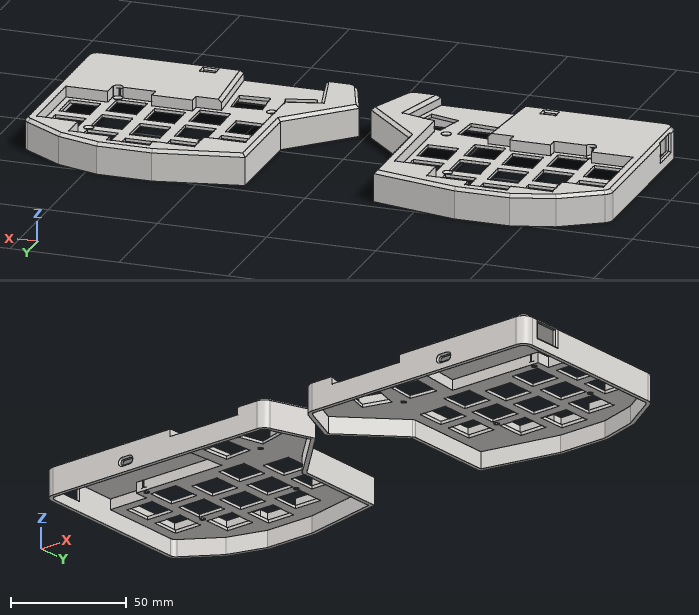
import cadquery as cq
import math

TOTAL_WIDTH = 269.0
DEPTH = 105.22
HEIGHT = 14.6
HALF_WIDTH = 131.9

WALL = 2.0
CORNER_RADIUS = 5.0
EDGE_CHAMFER = 1.5
SIDE_TOP_Y = 86.4
REAR_SHOULDER = (20.6, 99.6)
REAR_FLAT_START_X = 39.9
REAR_FLAT_END_X = 65.2
INNER_SIDE_X = 105.1
INNER_REAR_Y = 97.0
INNER_NOTCH_Y = 50.9
THUMB_TIP_Y = 24.3
FRONT_END_X = 122.5

OUTLINE = [
    (0, 0),
    (0, SIDE_TOP_Y),
    REAR_SHOULDER,
    (REAR_FLAT_START_X, DEPTH),
    (REAR_FLAT_END_X, DEPTH),
    (INNER_SIDE_X, INNER_REAR_Y),
    (INNER_SIDE_X, INNER_NOTCH_Y),
    (HALF_WIDTH, THUMB_TIP_Y),
    (FRONT_END_X, 0),
]
ROUNDED_CORNERS = [(0, 0), (0, SIDE_TOP_Y), (FRONT_END_X, 0)]

KEY_PITCH = 19.05
KEY_HOLE = 14.0
KEY_CLEARANCE = 0.2
KEY_CELL = KEY_PITCH + 2 * KEY_CLEARANCE
PLATE_TOP = 9.6
PLATE_THICKNESS = 1.5
PLATE_BOTTOM = PLATE_TOP - PLATE_THICKNESS
FIRST_COLUMN_X = 14.4
TOP_KEY_Y = 90.4
COLUMN_STEP = KEY_PITCH / 4
OUTER_COLUMN_DROP = 16.9
COLUMNS = [
    (OUTER_COLUMN_DROP, 2),
    (COLUMN_STEP, 3),
    (0, 3),
    (COLUMN_STEP, 3),
    (OUTER_COLUMN_DROP, 2),
]
INNER_THUMB_KEY = (82.2, 24.5, -4.5)
OUTER_THUMB_KEY = (103.4, 20.5, -15.0)

SCREW_DIAMETER = 2.4
SCREW_HEAD_DIAMETER = 4.4
SCREW_PLACES = [(26.1, 76.1), (78.5, 76.1), (26.1, 38.0), (94.5, 32.3)]

OPENING_CHAMFER = 0.8
PALM_ROOF = 1.5
SIDE_WINDOW_Y = 15.3
SIDE_WINDOW_LENGTH = 12.4
SIDE_WINDOW_BOTTOM = 5.0
SIDE_WINDOW_TOP = 13.0
FRONT_SLOT_X = 45.6
FRONT_SLOT_Z = 5.0
FRONT_SLOT_LENGTH = 6.4
FRONT_SLOT_HEIGHT = 2.6
TOP_SLOT_X = 56.5
TOP_SLOT_Y = 5.8
TOP_SLOT_LENGTH = 5.7
TOP_SLOT_WIDTH = 3.2


def finger_keys():
    """Centres of the finger keys, column by column."""
    places = []
    for column, (drop, count) in enumerate(COLUMNS):
        for row in range(count):
            places.append((FIRST_COLUMN_X + column * KEY_PITCH, TOP_KEY_Y - drop - row * KEY_PITCH))
    return places


def key_point(key, along, across):
    """Point at an offset from a key centre, measured along the key's own axes."""
    x, y, degrees = key
    turn = math.radians(degrees)
    return (
        x + along * math.cos(turn) - across * math.sin(turn),
        y + along * math.sin(turn) + across * math.cos(turn),
    )


def line_at_y(start, end, y):
    """Point at height y on the line through two points."""
    share = (y - start[1]) / (end[1] - start[1])
    return (start[0] + share * (end[0] - start[0]), y)


def line_at_x(start, end, x):
    """Point at distance x on the line through two points."""
    share = (x - start[0]) / (end[0] - start[0])
    return (x, start[1] + share * (end[1] - start[1]))


def prism(points, bottom, top):
    """Upright block with a polygon base between two heights."""
    return cq.Workplane("XY").workplane(offset=bottom).polyline(points).close().extrude(top - bottom)


HALF_CELL = KEY_CELL / 2
INNER_COLUMN_X = FIRST_COLUMN_X + 3 * KEY_PITCH
THUMB_REAR_Y = TOP_KEY_Y - COLUMN_STEP - 2 * KEY_PITCH - HALF_CELL
THUMB_INNER_X = FIRST_COLUMN_X + 4 * KEY_PITCH + HALF_CELL

PALM_SIDE_MIDDLE = key_point(INNER_THUMB_KEY, -HALF_CELL, 0)
PALM_SIDE_TOP = key_point(INNER_THUMB_KEY, -HALF_CELL, HALF_CELL)
PALM_SIDE_REAR = line_at_y(PALM_SIDE_MIDDLE, PALM_SIDE_TOP, THUMB_REAR_Y)
PALM_SIDE_FRONT = line_at_y(PALM_SIDE_MIDDLE, PALM_SIDE_TOP, 0)
TIP_SIDE_REAR = key_point(OUTER_THUMB_KEY, HALF_CELL, HALF_CELL)
TIP_SIDE_FRONT = line_at_y(TIP_SIDE_REAR, key_point(OUTER_THUMB_KEY, HALF_CELL, 0), 0)
THUMB_CORNER = line_at_x(TIP_SIDE_REAR, key_point(OUTER_THUMB_KEY, 0, HALF_CELL), THUMB_INNER_X)


def shell():
    """Solid block of one half with its rounded upright corners."""
    body = prism(OUTLINE, 0, HEIGHT)
    for x, y in ROUNDED_CORNERS:
        corner = cq.selectors.NearestToPointSelector((x, y, HEIGHT / 2))
        body = body.edges("|Z").edges(corner).fillet(CORNER_RADIUS)
    return body


def recess():
    """Space above the switch plate: one square cell per key plus the open thumb area."""
    depth = HEIGHT - PLATE_TOP
    plate = cq.Workplane("XY").workplane(offset=PLATE_TOP)
    cells = plate.pushPoints(finger_keys()).rect(KEY_CELL, KEY_CELL).extrude(depth)
    thumb_outline = [
        PALM_SIDE_FRONT,
        PALM_SIDE_REAR,
        (INNER_COLUMN_X, THUMB_REAR_Y),
        (INNER_COLUMN_X, THUMB_REAR_Y + KEY_CELL),
        (THUMB_INNER_X, THUMB_REAR_Y + KEY_CELL),
        THUMB_CORNER,
        TIP_SIDE_REAR,
        TIP_SIDE_FRONT,
    ]
    return cells.union(prism(thumb_outline, PLATE_TOP, HEIGHT))


def side_chamfer(rear, front, side):
    """Wedge that bevels the top edge of a wall beside the thumb area.

    The wall lies toward +x for side = 1 and toward -x for side = -1.
    """
    length = math.dist(rear, front)
    heading = math.degrees(math.atan2(front[1] - rear[1], front[0] - rear[0]))
    wedge = (
        cq.Workplane("YZ")
        .polyline([(0, 0), (side * EDGE_CHAMFER, 0), (0, -EDGE_CHAMFER)])
        .close()
        .extrude(length + WALL)
    )
    return wedge.rotate((0, 0, 0), (0, 0, 1), heading).translate((rear[0], rear[1], HEIGHT))


def inside(outer, height):
    """Solid that fills the inside of the side walls up to a height."""
    return cq.Workplane("XY").add(outer.faces("<Z").wires()).toPending().offset2D(-WALL).extrude(height)


def cavity(outer):
    """Hollow below the plate, rising to the roof inside the palm rest."""
    keys = finger_keys()
    step_x = FIRST_COLUMN_X + HALF_CELL - WALL
    side_y = keys[1][1] - HALF_CELL - WALL
    rear_y = THUMB_REAR_Y - WALL
    palm_outline = [
        (0, 0),
        (0, side_y),
        (step_x, side_y),
        (step_x, rear_y),
        (PALM_SIDE_REAR[0] - WALL - EDGE_CHAMFER, rear_y),
        (PALM_SIDE_FRONT[0] - WALL - EDGE_CHAMFER, 0),
    ]
    roof = HEIGHT - PALM_ROOF
    palm = inside(outer, roof).intersect(prism(palm_outline, 0, roof))
    return inside(outer, PLATE_BOTTOM).union(palm)


def key_holes():
    """Square switch holes through the plate."""
    holes = cq.Workplane("XY").pushPoints(finger_keys()).rect(KEY_HOLE, KEY_HOLE).extrude(PLATE_TOP)
    for x, y, degrees in (INNER_THUMB_KEY, OUTER_THUMB_KEY):
        hole = cq.Workplane("XY").rect(KEY_HOLE, KEY_HOLE).extrude(PLATE_TOP)
        holes = holes.union(hole.rotate((0, 0, 0), (0, 0, 1), degrees).translate((x, y, 0)))
    return holes


def screw_hole():
    """Countersunk hole in the plate, with clearance for the screw head up to the top."""
    radius = SCREW_DIAMETER / 2
    head_radius = SCREW_HEAD_DIAMETER / 2
    cone_bottom = PLATE_TOP - (head_radius - radius)
    profile = [
        (0, 0),
        (radius, 0),
        (radius, cone_bottom),
        (head_radius, PLATE_TOP),
        (head_radius, HEIGHT),
        (0, HEIGHT),
    ]
    return cq.Workplane("XZ").polyline(profile).close().revolve(360, (0, 0, 0), (0, 1, 0))


def side_window():
    """Flared rectangular window through the outer side wall."""
    z = (SIDE_WINDOW_BOTTOM + SIDE_WINDOW_TOP) / 2
    height = SIDE_WINDOW_TOP - SIDE_WINDOW_BOTTOM
    face = cq.Workplane("YZ").center(SIDE_WINDOW_Y, z)
    hole = face.rect(SIDE_WINDOW_LENGTH, height).extrude(WALL)
    flare = (
        face.rect(SIDE_WINDOW_LENGTH + 2 * OPENING_CHAMFER, height + 2 * OPENING_CHAMFER)
        .workplane(offset=OPENING_CHAMFER)
        .rect(SIDE_WINDOW_LENGTH, height)
        .loft()
    )
    return hole.union(flare)


def front_slot():
    """Flared slot with round ends through the front wall."""
    face = cq.Workplane("XZ").center(FRONT_SLOT_X, FRONT_SLOT_Z)
    hole = face.slot2D(FRONT_SLOT_LENGTH, FRONT_SLOT_HEIGHT).extrude(-WALL)
    flare = (
        face.slot2D(FRONT_SLOT_LENGTH + 2 * OPENING_CHAMFER, FRONT_SLOT_HEIGHT + 2 * OPENING_CHAMFER)
        .workplane(offset=-OPENING_CHAMFER)
        .slot2D(FRONT_SLOT_LENGTH, FRONT_SLOT_HEIGHT)
        .loft()
    )
    return hole.union(flare)


def top_slot():
    """Flared rectangular slot through the palm rest roof."""
    face = cq.Workplane("XY").workplane(offset=HEIGHT).center(TOP_SLOT_X, TOP_SLOT_Y)
    hole = face.rect(TOP_SLOT_LENGTH, TOP_SLOT_WIDTH).extrude(-PALM_ROOF)
    flare = (
        face.rect(TOP_SLOT_LENGTH + 2 * OPENING_CHAMFER, TOP_SLOT_WIDTH + 2 * OPENING_CHAMFER)
        .workplane(offset=-OPENING_CHAMFER)
        .rect(TOP_SLOT_LENGTH, TOP_SLOT_WIDTH)
        .loft()
    )
    return hole.union(flare)


def case_half():
    """One half of the case, in its local frame."""
    outer = shell()
    hollow = cavity(outer)
    body = outer.faces(">Z").edges().chamfer(EDGE_CHAMFER)
    body = body.cut(hollow).cut(recess())
    body = body.cut(side_chamfer(PALM_SIDE_REAR, PALM_SIDE_FRONT, -1))
    body = body.cut(side_chamfer(TIP_SIDE_REAR, TIP_SIDE_FRONT, 1))
    body = body.cut(key_holes())
    for x, y in SCREW_PLACES:
        body = body.cut(screw_hole().translate((x, y, 0)))
    body = body.cut(side_window()).cut(front_slot()).cut(top_slot())
    return body


left_half = case_half().translate((-TOTAL_WIDTH / 2, -DEPTH / 2, 0))
right_half = left_half.mirror("YZ")

result = cq.Compound.makeCompound([left_half.val(), right_half.val()])